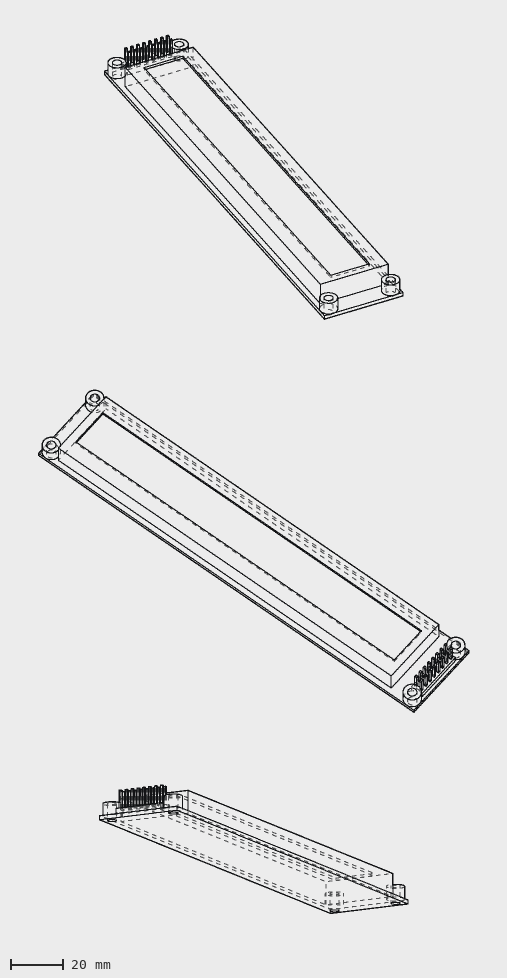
import cadquery as cq

BOARD_LENGTH = 182.0
BOARD_WIDTH = 33.6
BOARD_THICKNESS = 1.6

BOSS_DIAMETER = 7.0
BOSS_HEIGHT = 5.0
BOSS_HOLE_DIAMETER = 3.5
BOSS_OVERHANG = 0.1
BOSS_SPACING_X = 175.0
BOSS_SPACING_Y = 26.5
BOSS_RIGHT_X = BOARD_LENGTH / 2 + BOSS_OVERHANG - BOSS_DIAMETER / 2
BOSS_LEFT_X = BOSS_RIGHT_X - BOSS_SPACING_X
BOSS_Y = BOSS_SPACING_Y / 2

CASE_LENGTH = 161.4
CASE_WIDTH = 29.0
CASE_TOP_Z = 10.6
CASE_CENTRE_X = 2.5
WINDOW_LENGTH = 154.4
WINDOW_WIDTH = 16.5
WINDOW_DEPTH = 1.0

PIN_PITCH = 2.54
PIN_COLUMNS = 2
PIN_ROWS = 8
PIN_SIDE = 0.85
PIN_TOP_Z = 11.1
HEADER_BASE_HEIGHT = 2.4
HEADER_END_DISTANCE = 3.8
HEADER_X = -BOARD_LENGTH / 2 + HEADER_END_DISTANCE
HEADER_Y = 0.05


def block(length, width, bottom_z, top_z, centre_x=0.0, centre_y=0.0):
    """Upright box about the given centre, between two heights."""
    return (
        cq.Workplane("XY", origin=(centre_x, centre_y, bottom_z))
        .rect(length, width)
        .extrude(top_z - bottom_z)
    )


def boss_cylinders(diameter, bottom_z, top_z):
    """Four equal cylinders on the boss axes."""
    centres = [(x, y) for x in (BOSS_LEFT_X, BOSS_RIGHT_X) for y in (-BOSS_Y, BOSS_Y)]
    return (
        cq.Workplane("XY", origin=(0, 0, bottom_z))
        .pushPoints(centres)
        .circle(diameter / 2)
        .extrude(top_z - bottom_z)
    )


def display_case():
    case = block(CASE_LENGTH, CASE_WIDTH, BOARD_THICKNESS, CASE_TOP_Z, CASE_CENTRE_X)
    window = block(
        WINDOW_LENGTH, WINDOW_WIDTH, CASE_TOP_Z - WINDOW_DEPTH, CASE_TOP_Z, CASE_CENTRE_X
    )
    return case.cut(window)


def pin_header():
    base_top_z = BOARD_THICKNESS + HEADER_BASE_HEIGHT
    base_length = PIN_COLUMNS * PIN_PITCH
    base_width = PIN_ROWS * PIN_PITCH
    base = block(base_length, base_width, BOARD_THICKNESS, base_top_z, HEADER_X, HEADER_Y)
    pins = (
        cq.Workplane("XY", origin=(HEADER_X, HEADER_Y, base_top_z))
        .rarray(PIN_PITCH, PIN_PITCH, PIN_COLUMNS, PIN_ROWS)
        .rect(PIN_SIDE, PIN_SIDE)
        .extrude(PIN_TOP_Z - base_top_z)
    )
    return base.union(pins)


board = block(BOARD_LENGTH, BOARD_WIDTH, 0, BOARD_THICKNESS)
boss_top_z = BOARD_THICKNESS + BOSS_HEIGHT
bosses = boss_cylinders(BOSS_DIAMETER, BOARD_THICKNESS, boss_top_z)
boss_holes = boss_cylinders(BOSS_HOLE_DIAMETER, 0, boss_top_z)

result = board.union(bosses).union(display_case()).union(pin_header()).cut(boss_holes)